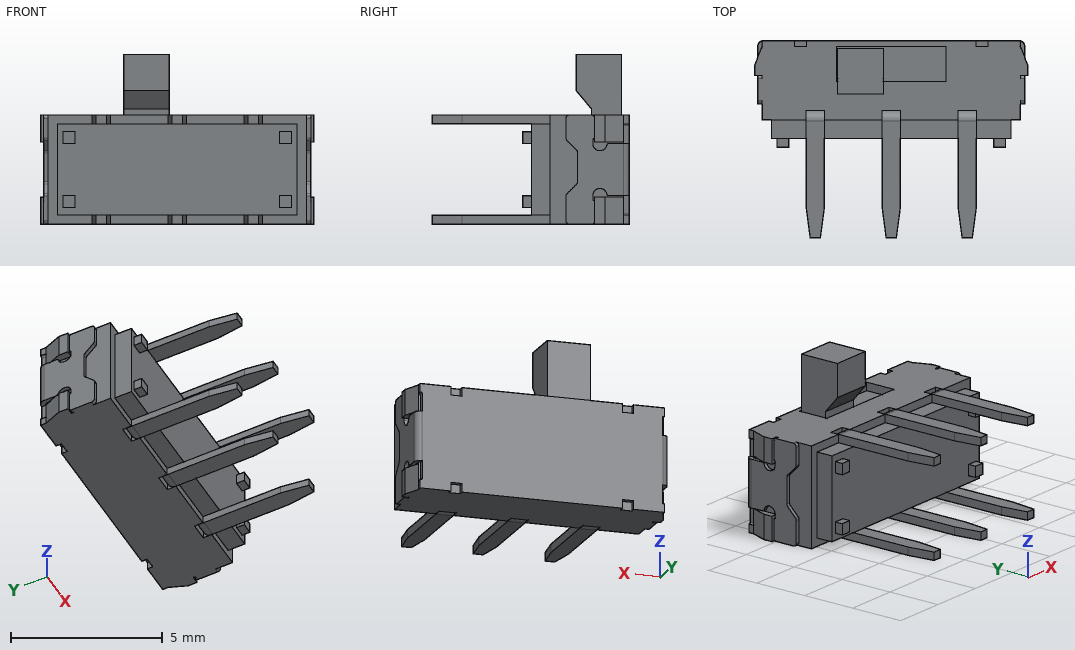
import cadquery as cq
import math


housing_half_length = 4.26
housing_depth = 2.61
housing_height = 3.6
mid_height = housing_height / 2
wall = 0.3
back_depth = 0.2

recess_depth = 0.07
recess_fillet = 0.05

notch_width = 0.39
notch_x = 2.99

opening_length = 3.6
opening_front = 1.34
knob_width = 1.5
knob_left = -1.76
knob_back = 0.25
knob_front = knob_back + knob_width
neck_front = 1.25
knob_top = 5.6
slope_bottom = 3.8
slope_top = 4.4

base_half_length = 3.95
base_front = 3.23
post_size = 0.4
post_front = 3.52
post_x = 3.57
post_spacing = 2.11

pin_width = 0.6
pin_tip_width = 0.34
pin_pitch = 2.5
pin_tip = 6.5
pin_taper_start = 5.51
pin_bend_end = 2.65
pin_bend_radius = 0.35

cover_x = 4.4
cover_front = 2.09
cover_notch_front = 1.7
cover_notch_half_height = 0.52
cover_notch_rise = cover_front - cover_notch_front
cover_notch_offset = 0.08
cover_corner_radius = 0.12
cover_inner_corner_radius = 0.09
band_half_height = 0.855

latch_x = 4.5
latch_height = 0.89
latch_ramp_end = 0.81
latch_front = 1.15

relief_y = 0.97
relief_radius = 0.23
relief_top = 1.03
relief_corner_radius = 0.05

overlap = 0.09


def block(x_range, y_range, z_range):
    """Box between two X positions, two distances from the back and two heights."""
    x_start, x_end = x_range
    y_start, y_end = y_range
    z_start, z_end = z_range
    size = (x_end - x_start, y_end - y_start, z_end - z_start)
    return cq.Workplane("XY").box(*size, centered=False).translate((x_start, -y_end, z_start))


def side_prism(points, x_start, x_end):
    """Extrude an outline of (distance from back, height) points along X."""
    outline = [(-y, z) for y, z in points]
    prism = cq.Workplane("YZ").polyline(outline).close().extrude(x_end - x_start)
    return prism.translate((x_start, 0, 0))


def mirrored_in_z(shape):
    return shape.mirror("XY", (0, 0, mid_height))


def make_housing():
    housing = block(
        (-housing_half_length, housing_half_length), (0, housing_depth), (0, housing_height)
    )
    floor = housing_height - wall
    opening = block(
        (-opening_length / 2, opening_length / 2), (back_depth, opening_front), (floor, housing_height)
    )
    housing = housing.cut(opening)
    for x in (-notch_x, notch_x):
        notch = block((x - notch_width / 2, x + notch_width / 2), (0, back_depth), (floor, housing_height))
        housing = housing.cut(notch).cut(mirrored_in_z(notch))
    recess_x = housing_half_length - recess_depth
    recess = block((-housing_half_length - overlap, -recess_x), (-overlap, back_depth), (wall, floor))
    recess = recess.edges("|Y and >X").fillet(recess_fillet)
    return housing.cut(recess).cut(recess.mirror("YZ"))


def make_knob():
    profile = [
        (knob_back, housing_height - wall),
        (neck_front, housing_height - wall),
        (neck_front, slope_bottom),
        (knob_front, slope_top),
        (knob_front, knob_top),
        (knob_back, knob_top),
    ]
    return side_prism(profile, knob_left, knob_left + knob_width)


def make_base():
    base = block(
        (-base_half_length, base_half_length),
        (housing_depth - overlap, base_front),
        (wall, housing_height - wall),
    )
    for x in (-post_x, post_x):
        for z in (mid_height - post_spacing / 2, mid_height + post_spacing / 2):
            post = block(
                (x - post_size / 2, x + post_size / 2),
                (base_front - overlap, post_front),
                (z - post_size / 2, z + post_size / 2),
            )
            base = base.union(post)
    return base


def make_top_pin(x):
    outline = [
        (-pin_width / 2, -housing_depth + overlap),
        (-pin_width / 2, -pin_taper_start),
        (-pin_tip_width / 2, -pin_tip),
        (pin_tip_width / 2, -pin_tip),
        (pin_width / 2, -pin_taper_start),
        (pin_width / 2, -housing_depth + overlap),
    ]
    pin = cq.Workplane("XY").polyline(outline).close().extrude(wall)
    return pin.translate((x, 0, housing_height - wall))


def make_top_bend_gap(x):
    """Gap between the housing and the rounded bend at the root of a pin."""
    bend_start = pin_bend_end - pin_bend_radius
    diagonal = pin_bend_radius * math.sqrt(0.5)
    bend_low = housing_height - pin_bend_radius
    gap = (
        cq.Workplane("YZ")
        .moveTo(-bend_start, housing_height)
        .lineTo(-bend_start, bend_low)
        .threePointArc((-pin_bend_end + diagonal, bend_low + diagonal), (-pin_bend_end, housing_height))
        .close()
        .extrude(pin_width / 2, both=True)
    )
    return gap.translate((x, 0, 0))


def make_left_cover():
    """Side cover that wraps around the back corner, with its notch and latches."""
    cover_inner_x = cover_x - back_depth
    notch_mid = mid_height + cover_notch_offset
    notch_half_mouth = cover_notch_half_height + cover_notch_rise
    outline = [
        (latch_front, 0),
        (cover_front, 0),
        (cover_front, notch_mid - notch_half_mouth),
        (cover_notch_front, notch_mid - cover_notch_half_height),
        (cover_notch_front, notch_mid + cover_notch_half_height),
        (cover_front, notch_mid + notch_half_mouth),
        (cover_front, housing_height),
        (latch_front, housing_height),
    ]
    plate = side_prism(outline, -cover_x, -cover_inner_x)
    plate = plate.edges("|X").edges("not >Y").fillet(cover_corner_radius)
    plate = plate.edges("|X and >Y").fillet(cover_inner_corner_radius)

    band = block(
        (-cover_x, -cover_inner_x + overlap),
        (0, latch_front + overlap),
        (mid_height - band_half_height, mid_height + band_half_height),
    )
    band = band.edges("|Z and <X and >Y").fillet(back_depth)
    cover = plate.union(band)

    relief = side_prism(
        [
            (relief_y, mid_height + band_half_height),
            (relief_y + relief_radius, mid_height + band_half_height),
            (relief_y + relief_radius, mid_height + relief_top),
            (relief_y, mid_height + relief_top),
        ],
        -cover_x,
        -housing_half_length,
    )
    relief = relief.edges("|X and <Y and >Z").fillet(relief_corner_radius)
    relief_round = (
        cq.Workplane("YZ")
        .center(-relief_y, mid_height + band_half_height)
        .circle(relief_radius)
        .extrude(cover_x - housing_half_length)
        .translate((-cover_x, 0, 0))
    )
    relief = relief.union(relief_round)
    cover = cover.cut(relief).cut(mirrored_in_z(relief))
    for side in (-1, 1):
        corner = (-cover_x, -(relief_y - relief_radius), mid_height + side * band_half_height)
        edge = cover.edges("|X").edges(cq.NearestToPointSelector(corner))
        cover = edge.fillet(relief_corner_radius)

    latch_outline = [
        (-housing_half_length, -back_depth),
        (-latch_x, -latch_ramp_end),
        (-latch_x, -latch_front),
        (-housing_half_length + overlap, -latch_front),
        (-housing_half_length + overlap, -back_depth),
    ]
    latch = cq.Workplane("XY").polyline(latch_outline).close().extrude(latch_height)
    return cover.union(latch).union(mirrored_in_z(latch))


left_cover = make_left_cover()
result = make_housing().union(left_cover).union(left_cover.mirror("YZ"))
result = result.union(make_knob()).union(make_base())
for pin_x in (-pin_pitch, 0, pin_pitch):
    pin = make_top_pin(pin_x)
    bend_gap = make_top_bend_gap(pin_x)
    result = result.union(pin).union(mirrored_in_z(pin))
    result = result.cut(bend_gap).cut(mirrored_in_z(bend_gap))